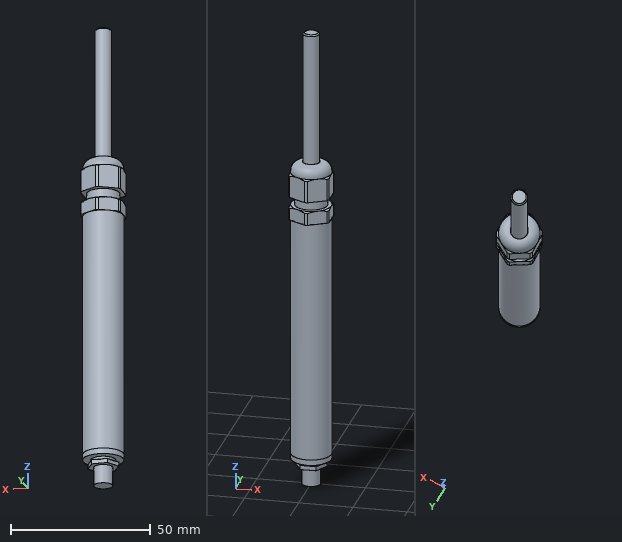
import cadquery as cq
import math

total_length = 173.5
lock_nut_bottom = 7.0
lock_nut_top = 8.5
end_cap_bottom = 9.7
housing_bottom = 11.8
housing_top = 102.4
gland_hex_top = 107.5
cap_nut_bottom = 111.0
cap_nut_hex_top = 119.7
cap_nut_top = 123.9

housing_diameter = 15.0
end_cap_diameter = housing_diameter
connector_diameter = 7.0
connector_neck_diameter = 9.0
gland_neck_diameter = 12.0
cable_diameter = 6.0
cap_nut_bore_diameter = 6.5
dome_flat_diameter = 8.0

wrench_flats = housing_diameter
wrench_corner_diameter = 16.7
lock_nut_flats = 10.0
corner_chamfer_angle = 30.0
cable_end_chamfer = 0.5

dome_radius = (housing_diameter - dome_flat_diameter) / 2


def cylinder(diameter, bottom, top):
    """Upright round bar between two heights."""
    return cq.Workplane("XY").workplane(offset=bottom).circle(diameter / 2).extrude(top - bottom)


def hexagon(flats, bottom, top):
    """Upright hexagonal bar with two corners on the X axis."""
    corner_diameter = flats / math.cos(math.pi / 6)
    return cq.Workplane("XY").workplane(offset=bottom).polygon(6, corner_diameter).extrude(top - bottom)


def wrench_hexagon(bottom, top):
    """Hexagon with corners on the Y axis, turned down at the corners and chamfered at the top."""
    corner_radius = wrench_corner_diameter / 2
    face_radius = wrench_flats / 2
    chamfer_drop = (corner_radius - face_radius) * math.tan(math.radians(corner_chamfer_angle))
    turned_envelope = (
        cq.Workplane("XZ")
        .moveTo(0, bottom)
        .lineTo(corner_radius, bottom)
        .lineTo(corner_radius, top - chamfer_drop)
        .lineTo(face_radius, top)
        .lineTo(0, top)
        .close()
        .revolve(360, (0, 0, 0), (0, 1, 0))
    )
    blank = hexagon(wrench_flats, bottom, top).rotate((0, 0, 0), (0, 0, 1), 90)
    return blank.intersect(turned_envelope)


def make_end_fitting():
    """End cap, neck, hexagonal lock nut and connector spigot below the housing."""
    cap = cylinder(end_cap_diameter, end_cap_bottom, housing_bottom)
    neck = cylinder(connector_neck_diameter, lock_nut_top, end_cap_bottom)
    lock_nut = hexagon(lock_nut_flats, lock_nut_bottom, lock_nut_top)
    spigot = cylinder(connector_diameter, 0, lock_nut_bottom)
    return cap.union(neck).union(lock_nut).union(spigot)


def make_housing():
    """Long round barrel."""
    return cylinder(housing_diameter, housing_bottom, housing_top)


def make_gland():
    """Hexagonal gland body with a round neck, bored to hold the cable."""
    base = wrench_hexagon(housing_top, gland_hex_top)
    neck = cylinder(gland_neck_diameter, gland_hex_top, cap_nut_bottom)
    cable_hole = cylinder(cable_diameter, housing_top, cap_nut_bottom)
    return base.union(neck).cut(cable_hole)


def make_cap_nut():
    """Hexagonal nut under a rounded dome, bored to clear the cable."""
    base = wrench_hexagon(cap_nut_bottom, cap_nut_hex_top)
    flat_radius = dome_flat_diameter / 2
    dome_outer_radius = housing_diameter / 2
    dome_start = cap_nut_top - dome_radius
    arc_offset = dome_radius * math.sin(math.pi / 4)
    dome = (
        cq.Workplane("XZ")
        .moveTo(0, cap_nut_hex_top)
        .lineTo(dome_outer_radius, cap_nut_hex_top)
        .lineTo(dome_outer_radius, dome_start)
        .threePointArc((flat_radius + arc_offset, dome_start + arc_offset), (flat_radius, cap_nut_top))
        .lineTo(0, cap_nut_top)
        .close()
        .revolve(360, (0, 0, 0), (0, 1, 0))
    )
    bore = cylinder(cap_nut_bore_diameter, cap_nut_bottom, cap_nut_top)
    return base.union(dome).cut(bore)


def make_cable():
    """Round cable that runs through the gland down to the housing, chamfered at its free end."""
    return cylinder(cable_diameter, housing_top, total_length).faces(">Z").chamfer(cable_end_chamfer)


end_fitting = make_end_fitting()
housing = make_housing()
gland = make_gland()
cap_nut = make_cap_nut()
cable = make_cable()

result = cq.Compound.makeCompound(
    [end_fitting.val(), housing.val(), gland.val(), cap_nut.val(), cable.val()]
)